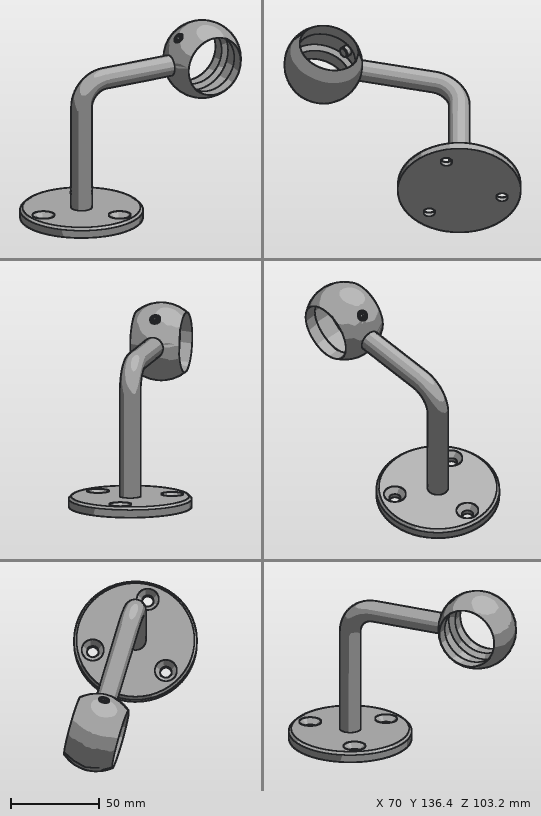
import cadquery as cq
import math

overall_length = 136.4
overall_height = 103.2

plate_diameter = 70.0
plate_thickness = 6.0
plate_edge_chamfer = 1.5
screw_hole_count = 3
first_screw_angle = -90
screw_circle_radius = 25.0
screw_hole_diameter = 6.5
countersink_diameter = 12.5
countersink_rim_depth = 0.3

rod_diameter = 12.0
bend_radius = 15.0

ball_diameter = 44.5
ball_width = 28.5
bore_diameter = 34.0
recess_diameter = 40.2
recess_width = 14.2
recess_taper_width = 1.8

set_screw_diameter = 6.0
set_screw_end_diameter = 5.0
set_screw_tilt = 45
set_screw_outer_radius = 22.1
set_screw_inner_radius = 16.4
hex_sides = 6
hex_socket_across_flats = 3.0
hex_socket_depth = 2.7

ball_radius = ball_diameter / 2
ball_y = overall_length - plate_diameter / 2 - ball_radius
ball_z = overall_height - ball_radius
ball_center = (0, ball_y, ball_z)
seat_y = ball_y - math.sqrt(ball_radius**2 - (rod_diameter / 2) ** 2)
tilt = math.radians(set_screw_tilt)
set_screw_plane = cq.Plane(
    origin=ball_center, xDir=(1, 0, 0), normal=(0, -math.cos(tilt), math.sin(tilt))
)


def make_plate():
    """Round plate with a chamfered top edge and countersunk screw holes."""
    plate = cq.Workplane("XY").circle(plate_diameter / 2).extrude(plate_thickness)
    plate = plate.faces(">Z").edges().chamfer(plate_edge_chamfer)
    for index in range(screw_hole_count):
        angle = math.radians(first_screw_angle + index * 360 / screw_hole_count)
        x = screw_circle_radius * math.cos(angle)
        y = screw_circle_radius * math.sin(angle)
        plate = plate.cut(make_screw_hole().translate((x, y, 0)))
    return plate


def make_screw_hole():
    """Revolved cutter for one hole: bore, 90 degree cone and short straight rim."""
    hole_radius = screw_hole_diameter / 2
    rim_radius = countersink_diameter / 2
    rim_z = plate_thickness - countersink_rim_depth
    cone_bottom_z = rim_z - (rim_radius - hole_radius)
    return (
        cq.Workplane("XZ")
        .polyline([
            (0, 0),
            (hole_radius, 0),
            (hole_radius, cone_bottom_z),
            (rim_radius, rim_z),
            (rim_radius, plate_thickness),
            (0, plate_thickness),
        ])
        .close()
        .revolve(360, (0, 0, 0), (0, 1, 0))
    )


def make_rod():
    """Round rod that rises from the plate and bends over to the ball."""
    path = (
        cq.Workplane("YZ")
        .moveTo(0, plate_thickness)
        .lineTo(0, ball_z - bend_radius)
        .radiusArc((bend_radius, ball_z), bend_radius)
        .lineTo(seat_y, ball_z)
    )
    section = cq.Workplane("XY", origin=(0, 0, plate_thickness)).circle(rod_diameter / 2)
    return section.sweep(path)


def cylinder_along_x(diameter, length):
    """Cylinder along the rail axis, centred on the ball."""
    start = (-length / 2, ball_y, ball_z)
    return cq.Workplane("YZ", origin=start).circle(diameter / 2).extrude(length)


def make_bore_recess():
    """Widened middle of the bore, tapering back to the bore at both ends."""
    half_width = recess_width / 2
    straight_half_width = half_width - recess_taper_width
    return (
        cq.Workplane("XY", origin=ball_center)
        .polyline([
            (-half_width, 0),
            (-half_width, bore_diameter / 2),
            (-straight_half_width, recess_diameter / 2),
            (straight_half_width, recess_diameter / 2),
            (half_width, bore_diameter / 2),
            (half_width, 0),
        ])
        .close()
        .revolve(360, (0, 0, 0), (1, 0, 0))
    )


def make_ball():
    """Sphere with flat sides, rail bore, rod seat and set screw hole."""
    ball = cq.Workplane("XY", origin=ball_center).sphere(ball_radius)
    ball = ball.intersect(cylinder_along_x(2 * ball_diameter, ball_width))
    ball = ball.cut(cylinder_along_x(bore_diameter, ball_diameter))
    ball = ball.cut(make_bore_recess())
    seat = cq.Workplane("XZ", origin=(0, seat_y, ball_z)).circle(rod_diameter / 2).extrude(ball_radius)
    ball = ball.cut(seat)
    screw_hole = cq.Workplane(set_screw_plane).circle(set_screw_diameter / 2).extrude(ball_diameter)
    return ball.cut(screw_hole)


def make_set_screw():
    """Set screw with chamfered ends and a hex socket in its outer end."""
    length = set_screw_outer_radius - set_screw_inner_radius
    screw = (
        cq.Workplane(set_screw_plane)
        .workplane(offset=set_screw_inner_radius)
        .circle(set_screw_diameter / 2)
        .extrude(length)
        .edges("%CIRCLE")
        .chamfer((set_screw_diameter - set_screw_end_diameter) / 2)
    )
    socket = (
        cq.Workplane(set_screw_plane)
        .workplane(offset=set_screw_outer_radius - hex_socket_depth)
        .polygon(hex_sides, hex_socket_across_flats, circumscribed=True)
        .extrude(hex_socket_depth)
    )
    return screw.cut(socket)


plate = make_plate()
rod = make_rod()
ball = make_ball()
set_screw = make_set_screw()

result = cq.Compound.makeCompound([plate.val(), rod.val(), ball.val(), set_screw.val()])